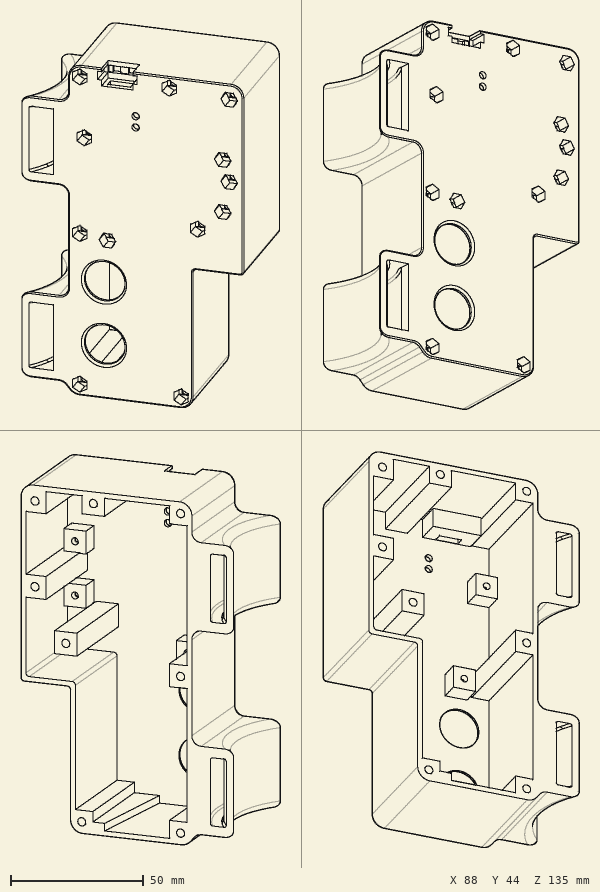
import cadquery as cq
import math

WIDTH = 88.0
DEPTH = 44.0
HEIGHT = 135.0

LEFT = 18.5
LOWER_RIGHT = 67.9
STEP_Z = 57.4
CORNER_R = 5.0
ROOT_R = 3.8
STEP_R = 1.4
FRONT_CHAMFER = 0.5
WALL = 2.0

LUG_BOTTOMS = (4.9, 85.0)
LUG_HEIGHT = 34.8
SADDLE_R = 34.0
SADDLE_Y = 23.1
TIP_Y = 0.4
SADDLE_X = -math.sqrt(SADDLE_R**2 - (SADDLE_Y - TIP_Y) ** 2)
LUG_EDGE_R = 3.0
EDGE_REACH = 0.1
OVERHANG = 1.4
TOE_RUN = 4.0

STRAP_INNER_R = SADDLE_R + 2.4
STRAP_HEIGHT = 26.9
STRAP_EDGE_R = 0.8
STRAP_OUTER_R = SADDLE_R + 7.8
MOUTH_X = 12.5
MOUTH_DEPTH = 4.7

SCREW_INSET = 4.6
NUT_DIA = 6.5
NUT_DEPTH = 6.0
STEP_DEPTH = 0.3
BOSS_SIZE = 9.0
SHORT_BOSS = 10.0
CASE_SCREW = 3.2
BOARD_SCREW = 2.7

CASE_SCREWS = (
    (LEFT + SCREW_INSET, HEIGHT - SCREW_INSET, True),
    (58.6, HEIGHT - SCREW_INSET, True),
    (82.4, 128.8, False),
    (82.4, 95.0, False),
    (69.8, 74.1, True),
    (LEFT + SCREW_INSET, 66.3, True),
    (LEFT + SCREW_INSET, SCREW_INSET, True),
    (LOWER_RIGHT - SCREW_INSET, SCREW_INSET, True),
)
BOARD_SCREWS = (
    (24.8, 105.7, True),
    (79.8, 103.8, False),
    (79.8, 82.5, False),
    (34.0, 64.8, False),
)

PORT_DIA = 16.0
PORT_RIM_DIA = 18.0
PORT_X = 32.7
PORT_ZS = (21.7, 47.7)
LAMP_DIA = 2.8
LAMP_X = 45.2
LAMP_ZS = (112.6, 117.2)

PAD_FRONT_X = 48.6
PAD_BACK_X = 54.0
PAD_TOP = 5.0

NOTCH_X = 38.0
NOTCH_WIDTH = 12.4
NOTCH_DEPTH = 8.1
NOTCH_HEIGHT = 7.2
NOTCH_FLOOR = 2.4
GROOVE_WIDTH = 15.7
GROOVE_BOTTOM = 130.3
GROOVE_HEIGHT = 3.4
SLOT_WIDTH = 9.0
SLOT_FRONT = 2.3
SLOT_LENGTH = 3.5
SOCKET_WIDTH = 3.0
SOCKET_SPACING = 6.1
WINDOW_HEIGHT = 2.8
WINDOW_DEPTH = 0.7
SOCKET_DEPTH = 1.4


def block(x0, x1, y0, y1, z0, z1):
    """Box between two opposite corners."""
    return cq.Workplane("XY").box(x1 - x0, y1 - y0, z1 - z0, centered=False).translate((x0, y0, z0))


def rod(x, z, diameter, y0, y1):
    """Cylinder along Y."""
    return cq.Workplane("XZ", origin=(x, y0, z)).circle(diameter / 2).extrude(y0 - y1)


def upright_cylinder(radius, z0, height):
    """Cylinder along Z about the saddle axis."""
    return cq.Workplane("XY", origin=(SADDLE_X, SADDLE_Y, z0)).circle(radius).extrude(height)


def rounded_prism(corners, y0, y1):
    """Prism along Y over an outline of (x, z, corner radius)."""
    entries, middles, exits = [], [], []
    for i, (x, z, radius) in enumerate(corners):
        here = cq.Vector(x, z)
        to_last = (cq.Vector(*corners[i - 1][:2]) - here).normalized()
        to_next = (cq.Vector(*corners[(i + 1) % len(corners)][:2]) - here).normalized()
        half_angle = to_last.getAngle(to_next) / 2
        setback = radius / math.tan(half_angle)
        bulge = radius / math.sin(half_angle) - radius
        entries.append(here + to_last * setback)
        middles.append(here + (to_last + to_next).normalized() * bulge)
        exits.append(here + to_next * setback)
    outline = cq.Workplane("XZ", origin=(0, y0, 0)).moveTo(*exits[-1].toTuple()[:2])
    for (x, z, radius), entry, middle, leave in zip(corners, entries, middles, exits):
        outline = outline.lineTo(*entry.toTuple()[:2])
        if radius > 0:
            outline = outline.threePointArc(middle.toTuple()[:2], leave.toTuple()[:2])
    return outline.close().extrude(y0 - y1)


def outer_body():
    """Housing and lugs as one solid, with saddles and rounded lug edges."""
    low_lug, high_lug = LUG_BOTTOMS
    lug_end = -OVERHANG
    body = rounded_prism(
        [
            (LEFT + TOE_RUN / 2, 0, CORNER_R),
            (LOWER_RIGHT, 0, CORNER_R),
            (LOWER_RIGHT, STEP_Z, STEP_R),
            (WIDTH, STEP_Z, STEP_R),
            (WIDTH, HEIGHT, CORNER_R),
            (LEFT, HEIGHT, CORNER_R),
            (LEFT, high_lug + LUG_HEIGHT, ROOT_R),
            (lug_end, high_lug + LUG_HEIGHT, 0),
            (lug_end, high_lug, 0),
            (LEFT, high_lug, ROOT_R),
            (LEFT, low_lug + LUG_HEIGHT, ROOT_R),
            (lug_end, low_lug + LUG_HEIGHT, 0),
            (lug_end, low_lug, 0),
            (LEFT - TOE_RUN / 2, low_lug, ROOT_R),
        ],
        0,
        DEPTH,
    )
    body = body.cut(upright_cylinder(SADDLE_R, 0, HEIGHT))
    for bottom in LUG_BOTTOMS:
        for z in (bottom, bottom + LUG_HEIGHT):
            edge_zone = cq.selectors.BoxSelector(
                (-OVERHANG, 0, z - EDGE_REACH), (LEFT / 2, DEPTH, z + EDGE_REACH)
            )
            body = body.edges("%CIRCLE").edges(edge_zone).fillet(LUG_EDGE_R)
    return body.faces("<Y").edges().chamfer(FRONT_CHAMFER)


def cavity():
    """Space inside the housing, open at the back."""
    inner_r = CORNER_R - WALL
    return rounded_prism(
        [
            (LEFT + WALL, WALL, inner_r),
            (LOWER_RIGHT - WALL, WALL, inner_r),
            (LOWER_RIGHT - WALL, STEP_Z + WALL, STEP_R),
            (WIDTH - WALL, STEP_Z + WALL, STEP_R),
            (WIDTH - WALL, HEIGHT - WALL, inner_r),
            (LEFT + WALL, HEIGHT - WALL, inner_r),
        ],
        WALL,
        DEPTH,
    )


def boss(x, z, y_end):
    """Square boss standing on the inside of the front wall."""
    half = BOSS_SIZE / 2
    return block(x - half, x + half, WALL, y_end, z - half, z + half)


def screw_cut(x, z, diameter, points_up):
    """Nut pocket, two bridging steps and a clearance hole through the depth."""
    turn = 90 if points_up else 0
    half = diameter / 2
    first_end = NUT_DEPTH + STEP_DEPTH
    hexagon = cq.Workplane("XZ").transformed(rotate=(0, 0, turn)).polygon(6, NUT_DIA).extrude(-first_end)
    nut = hexagon.intersect(block(-NUT_DIA, NUT_DIA, 0, NUT_DEPTH, -NUT_DIA, NUT_DIA))
    strip = block(-NUT_DIA, NUT_DIA, 0, first_end, -half, half)
    strip = strip.intersect(hexagon)
    square = block(-half, half, 0, first_end + STEP_DEPTH, -half, half)
    hole = rod(0, 0, diameter, 0, DEPTH)
    return nut.union(strip).union(square).union(hole).translate((x, 0, z))


def strap_outer_x(y):
    """X of the outer arc of the strap channel at a given Y."""
    return SADDLE_X + math.sqrt(STRAP_OUTER_R**2 - (y - SADDLE_Y) ** 2)


def strap_channel(bottom):
    """Curved channel through a lug, with rounded long edges."""
    low = bottom + (LUG_HEIGHT - STRAP_HEIGHT) / 2
    channel = (
        cq.Workplane("XY", origin=(0, 0, low))
        .moveTo(SADDLE_X, 0)
        .lineTo(MOUTH_X, 0)
        .lineTo(strap_outer_x(MOUTH_DEPTH), MOUTH_DEPTH)
        .threePointArc((SADDLE_X + STRAP_OUTER_R, SADDLE_Y), (strap_outer_x(DEPTH), DEPTH))
        .lineTo(SADDLE_X, DEPTH)
        .close()
        .extrude(STRAP_HEIGHT)
    )
    channel = channel.cut(upright_cylinder(STRAP_INNER_R, low, STRAP_HEIGHT))
    return channel.edges("%CIRCLE").fillet(STRAP_EDGE_R)


def port_cut(z):
    """Large round opening with a chamfered rim."""
    rim_depth = (PORT_RIM_DIA - PORT_DIA) / 2
    rim = cq.Solid.makeCone(
        PORT_RIM_DIA / 2, PORT_DIA / 2, rim_depth, cq.Vector(PORT_X, 0, z), cq.Vector(0, 1, 0)
    )
    return rod(PORT_X, z, PORT_DIA, 0, DEPTH).union(cq.Workplane(rim))


def centred_block(x, width, y0, y1, z0, z1):
    """Box centred on x."""
    return block(x - width / 2, x + width / 2, y0, y1, z0, z1)


def connector_mount():
    """Material around the notch inside the housing."""
    return centred_block(
        NOTCH_X, GROOVE_WIDTH + 2 * WALL,
        WALL, NOTCH_DEPTH + WINDOW_DEPTH + SOCKET_DEPTH + WALL,
        HEIGHT - NOTCH_HEIGHT - NOTCH_FLOOR, HEIGHT - WALL,
    )


def connector_cut():
    """Notch with side grooves, a slot in its floor, and a window and two sockets behind."""
    floor = HEIGHT - NOTCH_HEIGHT
    cut = centred_block(NOTCH_X, NOTCH_WIDTH, 0, NOTCH_DEPTH, floor, HEIGHT)
    cut = cut.union(
        centred_block(NOTCH_X, GROOVE_WIDTH, 0, NOTCH_DEPTH, GROOVE_BOTTOM, GROOVE_BOTTOM + GROOVE_HEIGHT)
    )
    cut = cut.union(
        centred_block(NOTCH_X, SLOT_WIDTH, SLOT_FRONT, SLOT_FRONT + SLOT_LENGTH, floor - NOTCH_FLOOR, floor)
    )
    window_back = NOTCH_DEPTH + WINDOW_DEPTH
    window_top = GROOVE_BOTTOM + WINDOW_HEIGHT
    cut = cut.union(
        centred_block(NOTCH_X, NOTCH_WIDTH, NOTCH_DEPTH, window_back, GROOVE_BOTTOM, window_top)
    )
    for side in (-1, 1):
        x = NOTCH_X + side * SOCKET_SPACING / 2
        socket = centred_block(
            x, SOCKET_WIDTH, window_back, window_back + SOCKET_DEPTH, GROOVE_BOTTOM, window_top
        )
        cut = cut.union(socket)
    return cut


def floor_pad():
    """Raised step with a slanted left side on the floor of the narrow lower part."""
    right = LOWER_RIGHT - WALL
    corners = [(PAD_FRONT_X, WALL), (right, WALL), (right, DEPTH), (PAD_BACK_X, DEPTH)]
    return cq.Workplane("XY", origin=(0, 0, WALL)).polyline(corners).close().extrude(PAD_TOP - WALL)


outside = outer_body()
inner_parts = connector_mount().union(floor_pad())
for x, z, _ in CASE_SCREWS:
    inner_parts = inner_parts.union(boss(x, z, DEPTH))
for x, z, _ in BOARD_SCREWS:
    inner_parts = inner_parts.union(boss(x, z, SHORT_BOSS))

result = outside.cut(cavity().cut(inner_parts))
for x, z, points_up in CASE_SCREWS:
    result = result.cut(screw_cut(x, z, CASE_SCREW, points_up))
for x, z, points_up in BOARD_SCREWS:
    result = result.cut(screw_cut(x, z, BOARD_SCREW, points_up))
for bottom in LUG_BOTTOMS:
    result = result.cut(strap_channel(bottom))
for z in PORT_ZS:
    result = result.cut(port_cut(z))
for z in LAMP_ZS:
    result = result.cut(rod(LAMP_X, z, LAMP_DIA, 0, DEPTH))
result = result.cut(connector_cut())